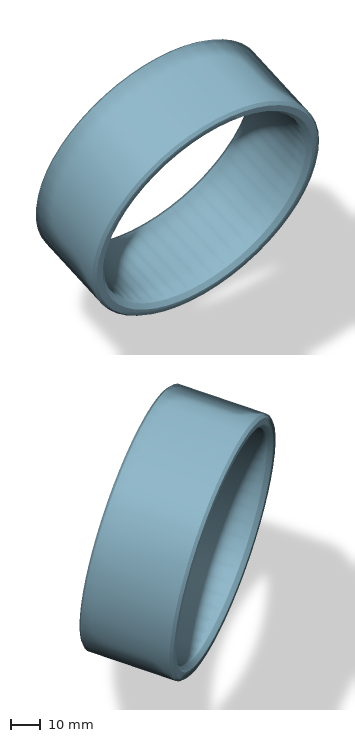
import cadquery as cq

outer_diameter = 95.0
inner_diameter = 84.8
width = 34.0
outer_chamfer = 1.0
inner_chamfer = 1.5


def end_circle(diameter):
    """Draw a circle of the given diameter on the low-X end plane of the ring."""
    return cq.Workplane("YZ", origin=(-width / 2, 0, 0)).circle(diameter / 2)


body = end_circle(outer_diameter).extrude(width)
body = body.faces("<X or >X").chamfer(outer_chamfer)

body = body.cut(end_circle(inner_diameter).extrude(width))
bore_rims = body.faces("<X or >X").edges(cq.selectors.RadiusNthSelector(0))
result = bore_rims.chamfer(inner_chamfer)